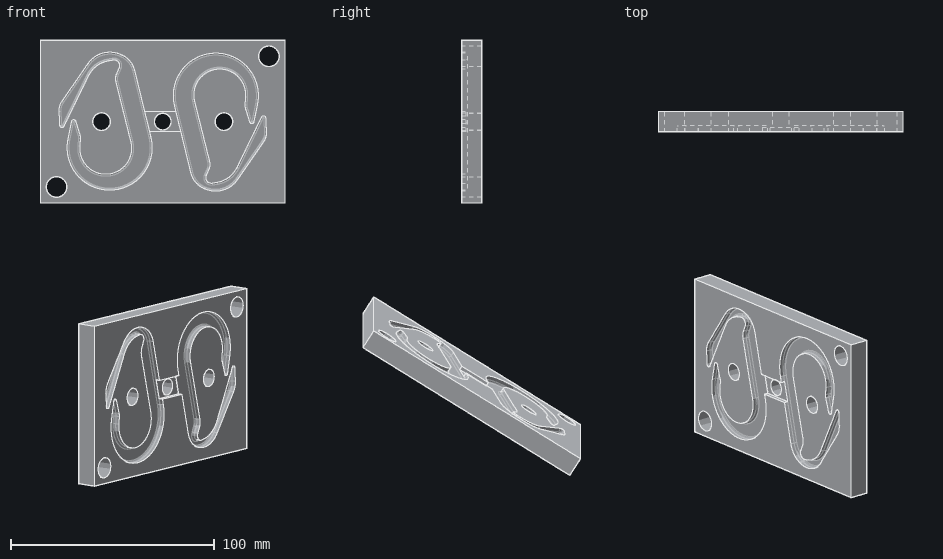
import cadquery as cq
import math

length = 120.0
thickness = 10.0
height = 80.0
front_y = -thickness / 2

dowel_diameter = 10.0
dowel_x = 52.1
dowel_z = 32.0
core_hole_diameter = 8.5
core_hole_x = 30.0
gate_hole_diameter = 8.0

cavity_depth = 3.0
floor_fillet = 1.0
tip_radius = 1.1
gate_width = 9.7
gate_depth = cavity_depth - floor_fillet
gate_length = 19.2

cavity_arcs = [
    (-26.0, -12.7, 20.9),
    (-24.7, 22.5, 11.3),
    (-25.9, 21.0, 13.1),
    (-43.0, 5.4, 7.9),
    (-49.5, -1.8, tip_radius),
    (-24.4, 16.5, -13.5),
    (-23.9, 27.5, -2.8),
    (-17.0, 21.0, 6.1),
    (-28.0, -13.1, -12.7),
    (-44.5, -7.9, 4.2),
    (-43.7, -0.1, tip_radius),
]


def point_on(arc, angle):
    """Point of an arc whose outward normal, right of the direction of travel, has this angle."""
    x, z, radius = arc
    return (x + radius * math.cos(angle), z + radius * math.sin(angle))


def tangent_normal(arc, following):
    """Angle of the right-hand normal of the tangent line from one arc to the following one."""
    dx = following[0] - arc[0]
    dz = following[1] - arc[1]
    spread = math.acos((arc[2] - following[2]) / math.hypot(dx, dz))
    return math.atan2(dz, dx) - spread


def belt(workplane, arcs):
    """Closed outline of arcs joined by tangent lines."""
    count = len(arcs)
    normals = [tangent_normal(arcs[i], arcs[(i + 1) % count]) for i in range(count)]
    outline = workplane.moveTo(*point_on(arcs[-1], normals[-1]))
    for i, arc in enumerate(arcs):
        start = normals[i - 1]
        turn = math.copysign(1, arc[2])
        sweep = turn * ((turn * (normals[i] - start)) % (2 * math.pi))
        outline = outline.lineTo(*point_on(arc, start))
        outline = outline.threePointArc(point_on(arc, start + sweep / 2), point_on(arc, normals[i]))
    return outline.close()


def front_plane():
    """Workplane on the worked face, with local x along X, local y along Z and normal along -Y."""
    return cq.Workplane("XZ", origin=(0, front_y, 0))


def through_holes(centres, diameter):
    """Cylinders through the whole plate at the given (x, z) centres."""
    return front_plane().pushPoints(centres).circle(diameter / 2).extrude(-thickness)


plate = cq.Workplane("XY").box(length, thickness, height)

left_cavity = belt(front_plane(), cavity_arcs).extrude(-cavity_depth)
left_cavity = left_cavity.faces(">Y").edges().fillet(floor_fillet)
right_cavity = left_cavity.rotate((0, 0, 0), (0, 1, 0), 180)

gate = front_plane().rect(gate_length, gate_width).extrude(-gate_depth)

result = (
    plate.cut(left_cavity)
    .cut(right_cavity)
    .cut(gate)
    .cut(through_holes([(-dowel_x, -dowel_z), (dowel_x, dowel_z)], dowel_diameter))
    .cut(through_holes([(-core_hole_x, 0), (core_hole_x, 0)], core_hole_diameter))
    .cut(through_holes([(0, 0)], gate_hole_diameter))
    .solids()
)